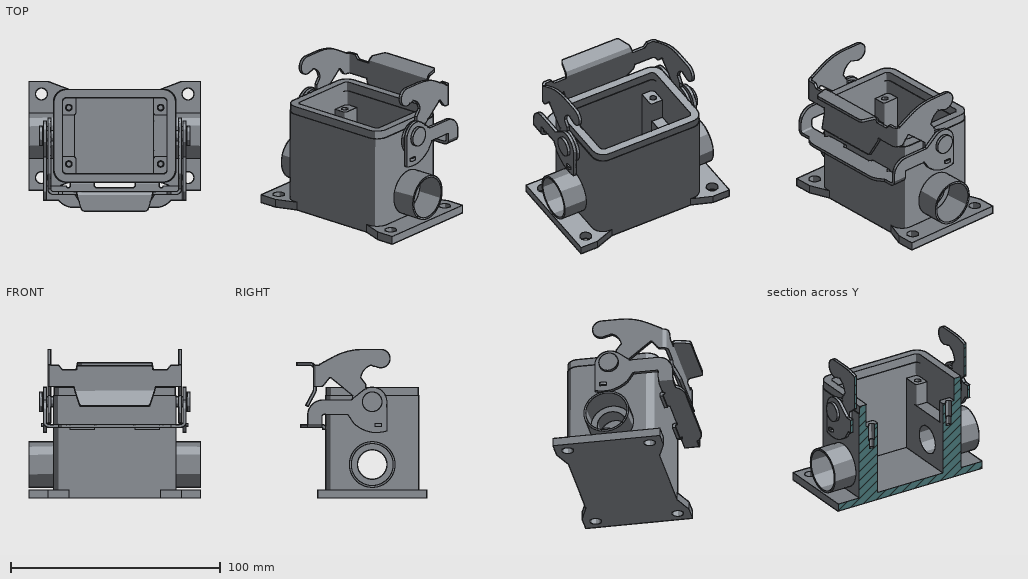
import cadquery as cq
import math

PLATE_LENGTH = 82.0
PLATE_WIDTH = 52.0
PLATE_THICKNESS = 4.0
PLATE_FULL_WIDTH_X = 31.9
PLATE_NOTCH_X = 21.8
MOUNT_HOLE_X = 34.9
MOUNT_HOLE_Y = 19.9
MOUNT_HOLE_RADIUS = 2.8

BODY_LENGTH = 58.5
BODY_WIDTH = 44.4
BODY_HEIGHT = 52.9
BODY_CORNER = 6.0
RIM_HEIGHT = 3.9
RIM_INSET_X = 0.3
RIM_INSET_Y = 0.2
CAVITY_LENGTH = 49.85
CAVITY_WIDTH = 36.2
CAVITY_CORNER = 2.05
LIP_DEPTH = 4.6
UNDERCUT = 0.25
FLOOR_HEIGHT = PLATE_THICKNESS

POST_INNER_X = 18.5
POST_INNER_Y = 9.8
POST_TOP = 41.1
POST_EDGE_ROUND = 1.2
SCREW_X = 21.9
SCREW_Y = 13.45
SCREW_RADIUS = 1.2
SCREW_DEPTH = 12.3
SCREW_ENTRY_RADIUS = 1.55
SCREW_ENTRY_DEPTH = 8.2
LEDGE_TOP = 30.1
LEFT_LEDGE_X = -19.1
RIGHT_LEDGE_X = POST_INNER_X

ENTRY_HEIGHT = 16.1
ENTRY_RADIUS = 10.9
ENTRY_BORE_RADIUS = 10.0
ENTRY_BORE_DEPTH = 13.1
ENTRY_HOLE_RADIUS = 7.0

PIVOT_HEIGHT = 46.0
PIN_RADIUS = 2.5
PIN_HEAD_RADIUS = 4.7
PIN_HEAD_THICKNESS = 1.4
PIN_END_X = 35.9

BRACKET_OUTER_X = 34.0
BRACKET_CHEEK = 1.55
BRACKET_SHEET = 1.4
BRACKET_BOTTOM = 33.7
BRACKET_BEND = 2.8
BRACKET_EYE_RADIUS = 7.0
SHOULDER_Y = -10.0
ARM_TOP = 46.9
ARM_BOTTOM = 39.9
ARM_FRONT_Y = -30.8
ARM_REAR_Y = -23.9
ARM_BEND_RADIUS = 7.4
ARM_INNER_ROUND = 0.7
LOBE_REAR = (BRACKET_EYE_RADIUS, 32.1)
LOBE_BASE_MIDDLE = (3.3, 31.4)
LOBE_BASE_FRONT = (-0.5, 31.5)
LOBE_FLANK_MIDDLE = (-5.3, 33.2)
LOBE_FLANK_TOP = (-8.8, 35.7)
LOBE_ARM_Y = -11.65
SHEET_FRONT_Y = -34.2
SHEET_CORNER_START = (-26.7, ARM_FRONT_Y)
SHEET_CORNER_MIDDLE = (-23.95, -33.1)
SHEET_CORNER_END = (-20.1, SHEET_FRONT_Y)
RELIEF_OUTER_X = 23.05
RELIEF_INNER_X = 21.2
RELIEF_FLOOR_Y = -24.8
WINDOW_HALF_LENGTH = 9.75
WINDOW_CHAMFER = 0.9
LIP_BOTTOM = 32.9
LIP_FRONT_Y = -23.6
LIP_ROUND = 1.3
STOP_LENGTH = 3.1
STOP_HEIGHT = 1.4
STOP_Y = 2.95
STOP_Z = 35.0
STOP_OUTER_X = 34.9
STOP_INNER_X = 30.75
STOP_ROUND = 0.6

LEVER_OUTER_X = 31.9
LEVER_SHEET = 1.4
LEVER_FRONT_Y = -28.05
LEVER_BEND = 2.8
BAND_BOTTOM = 53.2
BAND_TOP = 63.5
BAND_DIP = 61.3
BAND_DIP_TOP_X = 26.7
BAND_DIP_FLOOR_X = 25.0
LEVER_TOP = 71.0
NOSE_RADIUS = 4.4
NOSE_Y = 4.1
HOOK_RADIUS = 4.8
HOOK_Y = -0.6
HOOK_FLANK = (-4.1, 60.85)
HOOK_TIP = (-5.4, 57.5)
BACK_ARC_START_Y = -4.7
BACK_ARC_RADIUS = 28.7
BACK_ARC_ANGLE = math.radians(28)
BACK_END_Z = 63.8
NECK_REAR = (-3.0, 54.3)
ARCH_REAR_Z = 48.95
ARCH_TOP_REAR = (-19.7, 57.4)
ARCH_TOP_FRONT = (-20.3, 57.4)
ARCH_CORNER_START = (-24.35, BAND_BOTTOM)
ARCH_CORNER_MIDDLE = (-23.8, 53.4)
ARCH_CORNER_END = (-23.2, 53.8)
FOOT_Y = -1.3
FOOT_Z = 44.1
FOOT_RADIUS = 8.0

TAB_TIP_Y = -36.0
TAB_TOP = 64.7
TAB_ROOT_HALF = 18.45
TAB_TIP_HALF = 15.7
TAB_TOP_HALF = 17.8
TAB_CORNER = 1.8
TAB_INNER_BEND = 1.55
FLAP_BEND_Z = 51.4
FLAP_BEND_RADIUS = 1.3
FLAP_ANGLE = math.radians(27.6)
FLAP_LENGTH = 8.4
FLAP_ROOT_HALF = 19.85
FLAP_TIP_HALF = 16.65
FLAP_CORNER = 1.0

HALF_LENGTH = PLATE_LENGTH / 2
BODY_HALF_WIDTH = BODY_WIDTH / 2
WALL_MID_X = (CAVITY_LENGTH + BODY_LENGTH) / 4
WALL_MID_Y = (CAVITY_WIDTH + BODY_WIDTH) / 4


def both_ends(shape):
    """Join a shape with its mirror image at the other X end."""
    return shape.union(shape.mirror("YZ"))


def block(x0, x1, y0, y1, z0, z1):
    return (
        cq.Workplane("XY")
        .box(x1 - x0, y1 - y0, z1 - z0, centered=False)
        .translate((x0, y0, z0))
    )


def x_cylinder(radius, x0, x1, z):
    """Cylinder along X, on the Y = 0 plane, at height z."""
    return cq.Workplane("YZ", origin=(x0, 0, 0)).center(0, z).circle(radius).extrude(x1 - x0)


def rounded_block(length, width, corner, z0, z1):
    return (
        cq.Workplane("XY", origin=(0, 0, z0))
        .rect(length, width)
        .extrude(z1 - z0)
        .edges("|Z")
        .fillet(corner)
    )


def base_plate():
    half_width = PLATE_WIDTH / 2
    quarter = [
        (PLATE_NOTCH_X, BODY_HALF_WIDTH),
        (PLATE_FULL_WIDTH_X, half_width),
        (HALF_LENGTH, half_width),
    ]
    outline = quarter + [(x, -y) for x, y in reversed(quarter)]
    outline += [(-x, -y) for x, y in outline]
    hole_centers = [(sx * MOUNT_HOLE_X, sy * MOUNT_HOLE_Y) for sx in (-1, 1) for sy in (-1, 1)]
    plate = cq.Workplane("XY").polyline(outline).close().extrude(PLATE_THICKNESS)
    holes = cq.Workplane("XY").pushPoints(hole_centers).circle(MOUNT_HOLE_RADIUS)
    return plate.cut(holes.extrude(PLATE_THICKNESS))


def housing():
    rim_start = BODY_HEIGHT - RIM_HEIGHT
    walls = rounded_block(BODY_LENGTH, BODY_WIDTH, BODY_CORNER, 0, rim_start)
    rim = rounded_block(
        BODY_LENGTH - 2 * RIM_INSET_X,
        BODY_WIDTH - 2 * RIM_INSET_Y,
        BODY_CORNER - RIM_INSET_Y,
        rim_start,
        BODY_HEIGHT,
    )
    mouth = rounded_block(CAVITY_LENGTH, CAVITY_WIDTH, CAVITY_CORNER, FLOOR_HEIGHT, BODY_HEIGHT)
    chamber = rounded_block(
        CAVITY_LENGTH,
        CAVITY_WIDTH + 2 * UNDERCUT,
        CAVITY_CORNER,
        FLOOR_HEIGHT,
        BODY_HEIGHT - LIP_DEPTH,
    )
    return walls.union(rim).cut(mouth).cut(chamber)


def corner_posts():
    """Four screw posts that stand in the corners of the cavity."""
    post = block(POST_INNER_X, WALL_MID_X, POST_INNER_Y, WALL_MID_Y, FLOOR_HEIGHT, POST_TOP)
    post = post.edges("|Z and <X and <Y").fillet(POST_EDGE_ROUND)
    screw_top = cq.Workplane("XY", origin=(SCREW_X, SCREW_Y, POST_TOP))
    post = post.cut(screw_top.circle(SCREW_RADIUS).extrude(-SCREW_DEPTH))
    post = post.cut(screw_top.circle(SCREW_ENTRY_RADIUS).extrude(-SCREW_ENTRY_DEPTH))
    pair = both_ends(post)
    return pair.union(pair.mirror("XZ"))


def end_ledges():
    """Thickened end walls between the posts."""
    span = POST_INNER_Y + POST_EDGE_ROUND
    left = block(-WALL_MID_X, LEFT_LEDGE_X, -span, span, FLOOR_HEIGHT, LEDGE_TOP)
    right = block(RIGHT_LEDGE_X, WALL_MID_X, -span, span, FLOOR_HEIGHT, LEDGE_TOP)
    return left.union(right)


def cable_sleeves():
    return both_ends(x_cylinder(ENTRY_RADIUS, -HALF_LENGTH, -WALL_MID_X, ENTRY_HEIGHT))


def cable_bores():
    bore_end = ENTRY_BORE_DEPTH - HALF_LENGTH
    bores = both_ends(x_cylinder(ENTRY_BORE_RADIUS, -HALF_LENGTH, bore_end, ENTRY_HEIGHT))
    return bores.union(x_cylinder(ENTRY_HOLE_RADIUS, -HALF_LENGTH, HALF_LENGTH, ENTRY_HEIGHT))


def pivot_pins():
    shank = x_cylinder(PIN_RADIUS, -PIN_END_X, -WALL_MID_X, PIVOT_HEIGHT)
    head = x_cylinder(PIN_HEAD_RADIUS, -PIN_END_X, PIN_HEAD_THICKNESS - PIN_END_X, PIVOT_HEIGHT)
    return both_ends(shank.union(head))


def bracket_cheek():
    """Side plate with the pivot eye, the stop and its lobe, and the bent arm."""
    bend_start = BRACKET_BOTTOM + BRACKET_BEND
    shoulder = (SHOULDER_Y, ARM_TOP)
    arm_bend_y = ARM_FRONT_Y + ARM_BEND_RADIUS
    arm_bend_z = ARM_TOP - ARM_BEND_RADIUS
    diagonal = ARM_BEND_RADIUS * math.sqrt(0.5)
    rise = ARM_TOP - PIVOT_HEIGHT
    reach = math.hypot(shoulder[0], rise)
    tangent_angle = math.atan2(rise, shoulder[0]) - math.acos(BRACKET_EYE_RADIUS / reach)
    mid_angle = tangent_angle / 2

    def on_eye(angle):
        return (
            BRACKET_EYE_RADIUS * math.cos(angle),
            PIVOT_HEIGHT + BRACKET_EYE_RADIUS * math.sin(angle),
        )

    cheek = (
        cq.Workplane("YZ", origin=(-BRACKET_OUTER_X, 0, 0))
        .moveTo(*LOBE_REAR)
        .lineTo(BRACKET_EYE_RADIUS, PIVOT_HEIGHT)
        .threePointArc(on_eye(mid_angle), on_eye(tangent_angle))
        .lineTo(*shoulder)
        .lineTo(arm_bend_y, ARM_TOP)
        .threePointArc(
            (arm_bend_y - diagonal, arm_bend_z + diagonal),
            (ARM_FRONT_Y, arm_bend_z),
        )
        .lineTo(ARM_FRONT_Y, bend_start)
        .lineTo(ARM_REAR_Y, bend_start)
        .lineTo(ARM_REAR_Y, ARM_BOTTOM - ARM_INNER_ROUND)
        .radiusArc((ARM_REAR_Y + ARM_INNER_ROUND, ARM_BOTTOM), ARM_INNER_ROUND)
        .lineTo(LOBE_ARM_Y, ARM_BOTTOM)
        .lineTo(*LOBE_FLANK_TOP)
        .threePointArc(LOBE_FLANK_MIDDLE, LOBE_BASE_FRONT)
        .threePointArc(LOBE_BASE_MIDDLE, LOBE_REAR)
        .close()
        .extrude(BRACKET_CHEEK)
    )
    stop = (
        cq.Workplane("XY")
        .box(STOP_OUTER_X - STOP_INNER_X, STOP_LENGTH, STOP_HEIGHT)
        .edges("|Z")
        .fillet(STOP_ROUND)
        .translate((-(STOP_OUTER_X + STOP_INNER_X) / 2, STOP_Y, STOP_Z))
    )
    return cheek.union(stop)


def bracket_bend():
    """Quarter bend that turns the cheek into the flat sheet."""
    bend_top = BRACKET_BOTTOM + BRACKET_BEND
    sheet_top = BRACKET_BOTTOM + BRACKET_SHEET
    sheet_start = -BRACKET_OUTER_X + BRACKET_BEND
    cheek_inside = -BRACKET_OUTER_X + BRACKET_CHEEK
    inner_bend = BRACKET_BEND - BRACKET_CHEEK
    return (
        cq.Workplane("XZ", origin=(0, ARM_REAR_Y, 0))
        .moveTo(-BRACKET_OUTER_X, bend_top)
        .radiusArc((sheet_start, BRACKET_BOTTOM), -BRACKET_BEND)
        .lineTo(sheet_start, sheet_top)
        .radiusArc((cheek_inside, sheet_top + inner_bend), inner_bend)
        .lineTo(cheek_inside, bend_top)
        .close()
        .extrude(ARM_REAR_Y - ARM_FRONT_Y)
    )


def bracket_sheet():
    """Flat sheet in front of the housing, with two lips turned down along the wall."""
    sheet_top = BRACKET_BOTTOM + BRACKET_SHEET
    end_x = BRACKET_OUTER_X - BRACKET_BEND
    sheet = (
        cq.Workplane("XY", origin=(0, 0, BRACKET_BOTTOM))
        .moveTo(-end_x, ARM_REAR_Y)
        .lineTo(-end_x, ARM_FRONT_Y)
        .lineTo(*SHEET_CORNER_START)
        .threePointArc(SHEET_CORNER_MIDDLE, SHEET_CORNER_END)
        .lineTo(0, SHEET_FRONT_Y)
        .lineTo(0, RELIEF_FLOOR_Y)
        .lineTo(-WINDOW_HALF_LENGTH + WINDOW_CHAMFER, RELIEF_FLOOR_Y)
        .lineTo(-WINDOW_HALF_LENGTH, RELIEF_FLOOR_Y + WINDOW_CHAMFER)
        .lineTo(-WINDOW_HALF_LENGTH, -BODY_HALF_WIDTH)
        .lineTo(-RELIEF_INNER_X, -BODY_HALF_WIDTH)
        .lineTo(-RELIEF_INNER_X, ARM_REAR_Y)
        .threePointArc(
            (-(RELIEF_INNER_X + RELIEF_OUTER_X) / 2, RELIEF_FLOOR_Y),
            (-RELIEF_OUTER_X, ARM_REAR_Y),
        )
        .close()
        .extrude(BRACKET_SHEET)
    )
    lip = block(
        -RELIEF_INNER_X, -WINDOW_HALF_LENGTH, LIP_FRONT_Y, -BODY_HALF_WIDTH, LIP_BOTTOM, sheet_top
    )
    sheet = sheet.union(lip)
    return sheet.edges("|X and >Y and >Z").fillet(LIP_ROUND)


def bracket():
    return both_ends(bracket_cheek().union(bracket_bend()).union(bracket_sheet()))


def lever_cheek():
    """Side plate with the hook, the pivot foot and the arm to the front band."""
    nose_z = LEVER_TOP - NOSE_RADIUS
    center_gap = NOSE_RADIUS + HOOK_RADIUS
    hook_z = nose_z - math.sqrt(center_gap**2 - (NOSE_Y - HOOK_Y) ** 2)
    touch_y = HOOK_Y + (NOSE_Y - HOOK_Y) * HOOK_RADIUS / center_gap
    touch_z = hook_z + (nose_z - hook_z) * HOOK_RADIUS / center_gap
    arc_end = (
        BACK_ARC_START_Y - BACK_ARC_RADIUS * math.sin(BACK_ARC_ANGLE),
        LEVER_TOP - BACK_ARC_RADIUS * (1 - math.cos(BACK_ARC_ANGLE)),
    )
    arc_middle = (
        BACK_ARC_START_Y - BACK_ARC_RADIUS * math.sin(BACK_ARC_ANGLE / 2),
        LEVER_TOP - BACK_ARC_RADIUS * (1 - math.cos(BACK_ARC_ANGLE / 2)),
    )
    bend_y = LEVER_FRONT_Y + LEVER_BEND
    foot_front_y = FOOT_Y - FOOT_RADIUS
    plane = cq.Workplane("YZ", origin=(-LEVER_OUTER_X, 0, 0))
    arm = (
        plane.moveTo(NOSE_Y, LEVER_TOP)
        .lineTo(BACK_ARC_START_Y, LEVER_TOP)
        .threePointArc(arc_middle, arc_end)
        .lineTo(bend_y, BACK_END_Z)
        .lineTo(bend_y, BAND_BOTTOM)
        .lineTo(*ARCH_CORNER_START)
        .threePointArc(ARCH_CORNER_MIDDLE, ARCH_CORNER_END)
        .lineTo(*ARCH_TOP_FRONT)
        .lineTo(*ARCH_TOP_REAR)
        .lineTo(foot_front_y, ARCH_REAR_Z)
        .lineTo(foot_front_y, FOOT_Z)
        .lineTo(NECK_REAR[0], FOOT_Z)
        .lineTo(*NECK_REAR)
        .lineTo(*HOOK_TIP)
        .threePointArc(HOOK_FLANK, (HOOK_Y, hook_z + HOOK_RADIUS))
        .radiusArc((touch_y, touch_z), -HOOK_RADIUS)
        .threePointArc((NOSE_Y + NOSE_RADIUS, nose_z), (NOSE_Y, LEVER_TOP))
        .close()
        .extrude(LEVER_SHEET)
    )
    foot = plane.center(FOOT_Y, FOOT_Z).circle(FOOT_RADIUS).extrude(LEVER_SHEET)
    return arm.union(foot)


def lever_band():
    """Front band that joins both cheeks through rounded bends."""
    bend_y = LEVER_FRONT_Y + LEVER_BEND
    half_band = (
        cq.Workplane("XY", origin=(0, 0, BAND_BOTTOM))
        .moveTo(0, LEVER_FRONT_Y)
        .lineTo(-LEVER_OUTER_X + LEVER_BEND, LEVER_FRONT_Y)
        .radiusArc((-LEVER_OUTER_X, bend_y), LEVER_BEND)
        .lineTo(-LEVER_OUTER_X + LEVER_SHEET, bend_y)
        .radiusArc((-LEVER_OUTER_X + LEVER_BEND, LEVER_FRONT_Y + LEVER_SHEET), LEVER_SHEET - LEVER_BEND)
        .lineTo(0, LEVER_FRONT_Y + LEVER_SHEET)
        .close()
        .extrude(BAND_TOP - BAND_BOTTOM)
    )
    dip = (
        cq.Workplane("XZ", origin=(0, bend_y, 0))
        .polyline([
            (-BAND_DIP_TOP_X, BAND_TOP),
            (-BAND_DIP_FLOOR_X, BAND_DIP),
            (BAND_DIP_FLOOR_X, BAND_DIP),
            (BAND_DIP_TOP_X, BAND_TOP),
        ])
        .close()
        .extrude(LEVER_BEND)
    )
    return both_ends(half_band).cut(dip)


def thumb_tab():
    """Tab bent forward from the top of the band, narrowing towards its tip."""
    rear_y = LEVER_FRONT_Y + LEVER_SHEET
    outer_bend = TAB_INNER_BEND + LEVER_SHEET
    underside = TAB_TOP - LEVER_SHEET
    bent_strip = (
        cq.Workplane("YZ", origin=(-TAB_ROOT_HALF, 0, 0))
        .moveTo(rear_y, BAND_DIP)
        .lineTo(rear_y, TAB_TOP - outer_bend)
        .radiusArc((rear_y - outer_bend, TAB_TOP), -outer_bend)
        .lineTo(TAB_TIP_Y, TAB_TOP)
        .lineTo(TAB_TIP_Y, underside)
        .lineTo(LEVER_FRONT_Y - TAB_INNER_BEND, underside)
        .radiusArc((LEVER_FRONT_Y, underside - TAB_INNER_BEND), TAB_INNER_BEND)
        .lineTo(LEVER_FRONT_Y, BAND_DIP)
        .close()
        .extrude(2 * TAB_ROOT_HALF)
    )
    plan = (
        cq.Workplane("XY", origin=(0, 0, BAND_DIP))
        .polyline([
            (-TAB_ROOT_HALF, rear_y),
            (-TAB_TIP_HALF, TAB_TIP_Y),
            (TAB_TIP_HALF, TAB_TIP_Y),
            (TAB_ROOT_HALF, rear_y),
        ])
        .close()
        .extrude(TAB_TOP - BAND_DIP)
        .edges("|Z and <Y")
        .fillet(TAB_CORNER)
    )
    face = (
        cq.Workplane("XZ", origin=(0, rear_y, 0))
        .polyline([
            (-TAB_ROOT_HALF, BAND_DIP),
            (-TAB_TOP_HALF, TAB_TOP),
            (TAB_TOP_HALF, TAB_TOP),
            (TAB_ROOT_HALF, BAND_DIP),
        ])
        .close()
        .extrude(rear_y - TAB_TIP_Y)
    )
    return bent_strip.intersect(plan).intersect(face)


def guide_flap():
    """Flap below the band, leaning forward."""
    rear_y = LEVER_FRONT_Y + LEVER_SHEET
    along = (-math.sin(FLAP_ANGLE), -math.cos(FLAP_ANGLE))
    miter = LEVER_SHEET * math.tan(FLAP_ANGLE / 2)
    rear_tip = (rear_y + FLAP_LENGTH * along[0], FLAP_BEND_Z - miter + FLAP_LENGTH * along[1])
    front_tip = (
        rear_tip[0] - LEVER_SHEET * math.cos(FLAP_ANGLE),
        rear_tip[1] + LEVER_SHEET * math.sin(FLAP_ANGLE),
    )
    strip = (
        cq.Workplane("YZ", origin=(-FLAP_ROOT_HALF, 0, 0))
        .polyline([
            (rear_y, BAND_BOTTOM),
            (rear_y, FLAP_BEND_Z - miter),
            rear_tip,
            front_tip,
            (LEVER_FRONT_Y, FLAP_BEND_Z),
            (LEVER_FRONT_Y, BAND_BOTTOM),
        ])
        .close()
        .extrude(2 * FLAP_ROOT_HALF)
    )
    front_bend = cq.selectors.NearestToPointSelector((0, LEVER_FRONT_Y, FLAP_BEND_Z))
    rear_bend = cq.selectors.NearestToPointSelector((0, rear_y, FLAP_BEND_Z - miter))
    strip = strip.edges(front_bend).fillet(FLAP_BEND_RADIUS)
    strip = strip.edges(rear_bend).fillet(FLAP_BEND_RADIUS + LEVER_SHEET)
    flap_plane = cq.Plane(
        origin=(0, LEVER_FRONT_Y, FLAP_BEND_Z),
        xDir=(1, 0, 0),
        normal=(0, along[1], -along[0]),
    )
    root = BAND_BOTTOM - FLAP_BEND_Z + LEVER_SHEET
    tip = miter - FLAP_LENGTH
    face = (
        cq.Workplane(flap_plane)
        .polyline([
            (-FLAP_ROOT_HALF, root),
            (-FLAP_TIP_HALF, tip),
            (FLAP_TIP_HALF, tip),
            (FLAP_ROOT_HALF, root),
        ])
        .close()
        .extrude(2 * LEVER_SHEET, both=True)
        .edges(cq.selectors.ParallelDirSelector(flap_plane.zDir))
        .edges("<Z")
        .fillet(FLAP_CORNER)
    )
    return strip.intersect(face)


def lever():
    front = lever_band().union(thumb_tab()).union(guide_flap())
    return both_ends(lever_cheek()).union(front)


result = (
    base_plate()
    .union(housing())
    .union(corner_posts())
    .union(end_ledges())
    .union(cable_sleeves())
    .cut(cable_bores())
    .union(pivot_pins())
    .union(bracket())
    .union(lever())
)